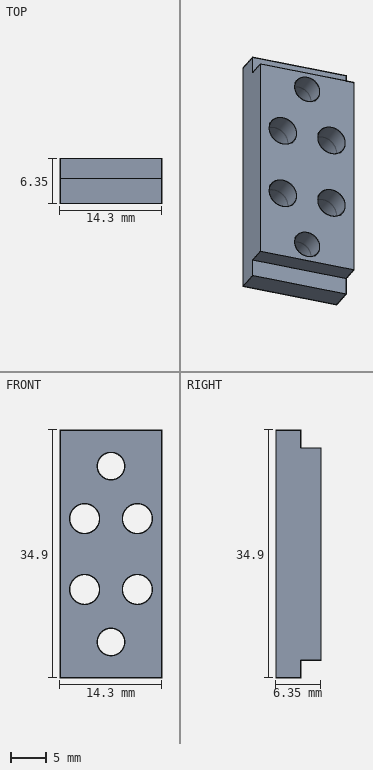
import cadquery as cq

width = 14.3
depth = 6.35
height = 34.92

plate_depth = 3.53
pad_height = 29.95
pad_depth = depth - plate_depth

end_hole_diameter = 3.85
end_hole_spacing = 24.8
inner_hole_diameter = 4.2
inner_hole_spacing_x = 7.45
inner_hole_spacing_z = 10.0


def block(y_start, block_depth, block_height):
    """Full-width block centred in X and Z, starting at y_start."""
    return cq.Workplane("XY").box(width, block_depth, block_height).translate(
        (0, y_start + block_depth / 2, 0)
    )


def hole_cutters(diameter, spacing_x, columns, spacing_z):
    """Two rows of cylinders running through the full depth."""
    return (
        cq.Workplane("XZ")
        .rarray(spacing_x, spacing_z, columns, 2)
        .circle(diameter / 2)
        .extrude(depth, both=True)
    )


front = -depth / 2
plate = block(front, plate_depth, height)
pad = block(front + plate_depth, pad_depth, pad_height)

end_holes = hole_cutters(end_hole_diameter, width, 1, end_hole_spacing)
inner_holes = hole_cutters(inner_hole_diameter, inner_hole_spacing_x, 2, inner_hole_spacing_z)

result = plate.union(pad).cut(end_holes).cut(inner_holes)